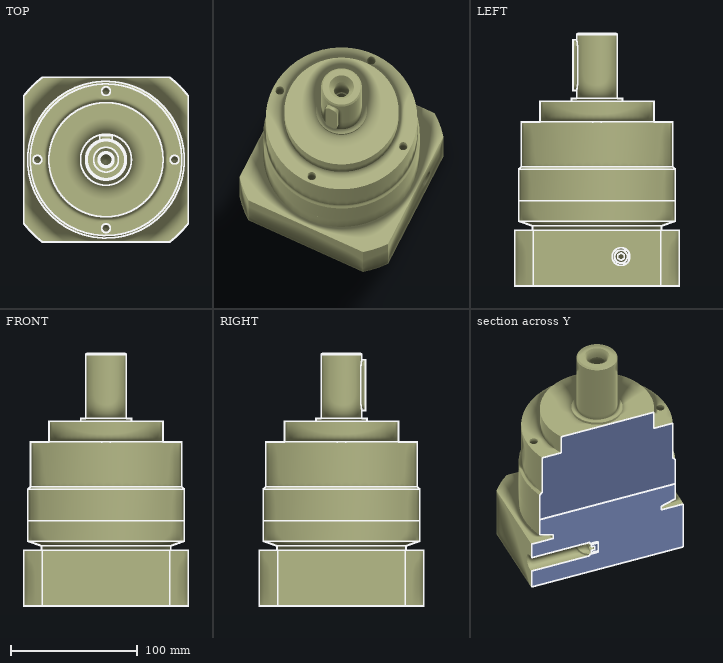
import cadquery as cq
import math

PLATE_TOP = 44.3
NECK_TOP = 47.5
RING_BOTTOM = 51.3
SPLIT_LEVEL = 67.2
BAND_TOP = 94.2
BODY_TOP = 129.7
PILOT_TOP = 146.0
COLLAR_TOP = 148.0
SHAFT_TOP = 199.5

PLATE_SIDE = 130.0
PLATE_CORNER_RADIUS = 82.2
NECK_RADIUS = 51.0
RING_RADIUS = 61.8

BODY_RADIUS = 59.8
PILOT_RADIUS = 45.0
BAND_CHAMFER = RING_RADIUS - BODY_RADIUS
BOLT_CIRCLE_RADIUS = 54.0
BOLT_HOLE_RADIUS = 3.4
BOLT_HOLE_DEPTH = 16.0
BOLT_HOLE_COUNT = 4

SHAFT_RADIUS = 16.2
COLLAR_RADIUS = 20.1
SHAFT_CHAMFER = 1.2
COUNTERSINK_RADIUS = 9.8
COUNTERSINK_DEPTH = 6.2
THREAD_RADIUS = 6.2
THREAD_END_DEPTH = 28.0
DRILL_RADIUS = 5.0
DRILL_DEPTH = 36.0
DRILL_POINT_ANGLE = 118.0

KEY_WIDTH = 10.0
KEY_LENGTH = 40.3
KEY_HEIGHT = 8.0
KEY_OUTER_Y = 19.0
KEY_TOP_GAP = 5.0

SCREW_Y = -19.0
SCREW_Z = 23.3
ACCESS_RADIUS = 7.0
HUB_RADIUS = 26.3
SEAT_X = -8.0
SEAT_HALF_WIDTH = 5.2
HEAD_RADIUS = 5.0
HEAD_LENGTH = 6.0
HEX_ACROSS_FLATS = 5.0
HEX_DEPTH = 3.0


def drill_point_length(radius):
    """Length of the conical tip that a drill of this radius leaves."""
    return radius / math.tan(math.radians(DRILL_POINT_ANGLE / 2))


def revolve_about_z(profile):
    """Revolve a closed (radius, z) profile about the Z axis."""
    return cq.Workplane("XZ").polyline(profile).close().revolve(360, (0, 0), (0, 1))


def screw_plane(x):
    """Workplane centred on the screw axis, normal to +X, with its local x along +Y."""
    return cq.Workplane("YZ", origin=(x, SCREW_Y, SCREW_Z))


def make_access_bore():
    """Round bore from the -X face to the middle plane of the plate."""
    return screw_plane(-PLATE_SIDE / 2).circle(ACCESS_RADIUS).extrude(PLATE_SIDE / 2)


def make_access_hole():
    """Access bore that stops on the cylindrical hub wall inside the plate."""
    hub = cq.Workplane("XY").circle(HUB_RADIUS).extrude(PLATE_TOP)
    return make_access_bore().cut(hub)


def make_screw_seat():
    """Flat seat cut into the hub wall, round on its +Y side and open toward -Y."""
    seat_depth = HUB_RADIUS + SEAT_X
    seat_width = 2 * SEAT_HALF_WIDTH
    round_end = screw_plane(SEAT_X).circle(SEAT_HALF_WIDTH).extrude(-seat_depth)
    open_end = (
        screw_plane(SEAT_X)
        .rect(2 * ACCESS_RADIUS, seat_width)
        .extrude(-seat_depth)
        .translate((0, -ACCESS_RADIUS, 0))
    )
    return round_end.union(open_end).intersect(make_access_bore())


def make_input_housing():
    """Square plate with arc corners, carrying the neck and the ring below the split."""
    square = cq.Workplane("XY").rect(PLATE_SIDE, PLATE_SIDE).extrude(PLATE_TOP)
    corner_round = cq.Workplane("XY").circle(PLATE_CORNER_RADIUS).extrude(PLATE_TOP)
    ring = revolve_about_z([
        (0, PLATE_TOP),
        (NECK_RADIUS, PLATE_TOP),
        (NECK_RADIUS, NECK_TOP),
        (RING_RADIUS, RING_BOTTOM),
        (RING_RADIUS, SPLIT_LEVEL),
        (0, SPLIT_LEVEL),
    ])
    housing = square.intersect(corner_round).union(ring)
    return housing.cut(make_access_hole()).cut(make_screw_seat())


def make_bolt_hole():
    """Blind drilled hole on the +X side of the bolt circle."""
    floor = BODY_TOP - BOLT_HOLE_DEPTH
    hole = revolve_about_z([
        (0, BODY_TOP),
        (BOLT_HOLE_RADIUS, BODY_TOP),
        (BOLT_HOLE_RADIUS, floor),
        (0, floor - drill_point_length(BOLT_HOLE_RADIUS)),
    ])
    return hole.translate((BOLT_CIRCLE_RADIUS, 0, 0))


def make_output_housing():
    """Stepped round body above the split, with blind holes around the pilot."""
    housing = revolve_about_z([
        (0, SPLIT_LEVEL),
        (RING_RADIUS, SPLIT_LEVEL),
        (RING_RADIUS, BAND_TOP - BAND_CHAMFER),
        (BODY_RADIUS, BAND_TOP),
        (BODY_RADIUS, BODY_TOP),
        (PILOT_RADIUS, BODY_TOP),
        (PILOT_RADIUS, PILOT_TOP),
        (0, PILOT_TOP),
    ])
    bolt_hole = make_bolt_hole()
    for i in range(BOLT_HOLE_COUNT):
        angle = i * 360 / BOLT_HOLE_COUNT
        housing = housing.cut(bolt_hole.rotate((0, 0, 0), (0, 0, 1), angle))
    return housing


def make_key():
    """Key with rounded ends, sunk into the +Y side of the shaft."""
    center_z = SHAFT_TOP - KEY_TOP_GAP - KEY_LENGTH / 2
    return (
        cq.Workplane("XZ", origin=(0, KEY_OUTER_Y, center_z))
        .slot2D(KEY_LENGTH, KEY_WIDTH, 90)
        .extrude(KEY_HEIGHT)
    )


def make_center_bore():
    """Countersunk, threaded centre bore with a smaller drilled end."""
    countersink_floor = SHAFT_TOP - COUNTERSINK_DEPTH
    thread_end = SHAFT_TOP - THREAD_END_DEPTH
    drill_end = SHAFT_TOP - DRILL_DEPTH
    return revolve_about_z([
        (0, SHAFT_TOP),
        (COUNTERSINK_RADIUS, SHAFT_TOP),
        (THREAD_RADIUS, countersink_floor),
        (THREAD_RADIUS, thread_end),
        (DRILL_RADIUS, thread_end),
        (DRILL_RADIUS, drill_end),
        (0, drill_end - drill_point_length(DRILL_RADIUS)),
    ])


def make_shaft():
    """Collared output shaft that stands on the pilot face, with a keyway and centre bore."""
    shaft = revolve_about_z([
        (0, PILOT_TOP),
        (COLLAR_RADIUS, PILOT_TOP),
        (COLLAR_RADIUS, COLLAR_TOP),
        (SHAFT_RADIUS, COLLAR_TOP),
        (SHAFT_RADIUS, SHAFT_TOP - SHAFT_CHAMFER),
        (SHAFT_RADIUS - SHAFT_CHAMFER, SHAFT_TOP),
        (0, SHAFT_TOP),
    ])
    return shaft.cut(make_center_bore()).cut(make_key())


def make_clamp_screw():
    """Socket head that rests on the flat seat, with its hexagon facing -X."""
    head = screw_plane(SEAT_X).circle(HEAD_RADIUS).extrude(-HEAD_LENGTH)
    hex_across_corners = HEX_ACROSS_FLATS / math.cos(math.pi / 6)
    socket = (
        screw_plane(SEAT_X - HEAD_LENGTH)
        .polygon(6, hex_across_corners)
        .extrude(HEX_DEPTH)
        .rotate((0, SCREW_Y, SCREW_Z), (1, SCREW_Y, SCREW_Z), 90)
    )
    return head.cut(socket)


input_housing = make_input_housing()
output_housing = make_output_housing()
shaft = make_shaft()
key = make_key()
clamp_screw = make_clamp_screw()

result = cq.Compound.makeCompound([
    input_housing.val(),
    output_housing.val(),
    shaft.val(),
    key.val(),
    clamp_screw.val(),
])